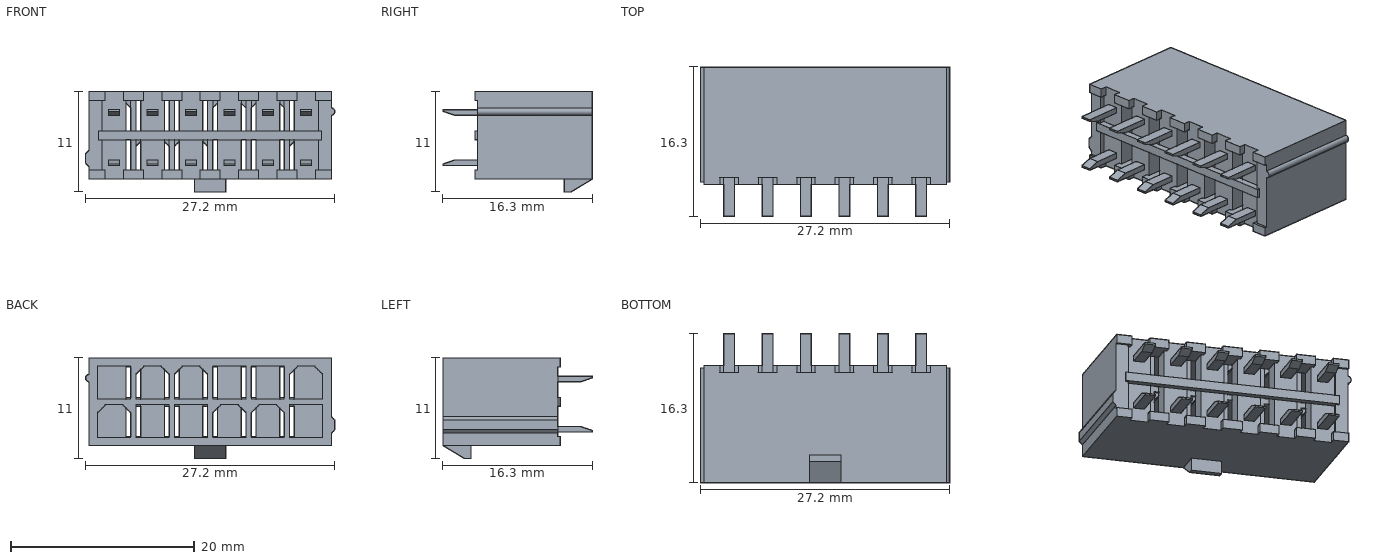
import cadquery as cq


total_width = 27.2
housing_width = 26.47
housing_depth = 12.8
housing_height = 9.57

columns = 6
pitch = 4.2
column_positions = [(i - (columns - 1) / 2) * pitch for i in range(columns)]

end_recess = 0.27
cell_recess = 0.75
tab_height = 1.0
tab_width = 2.18
end_land_width = 1.41
slot_width = 1.58
bar_width = 24.32
bar_height = 0.98
open_height = housing_height - 2 * tab_height
cell_zone_width = housing_width - 2 * end_land_width

floor_depth = 2.8
cavity_wall = 0.6
cavity_size = pitch - cavity_wall
cavity_chamfer = 0.9
key_setback = 0.27
upper_keyed_columns = (0, 3, 4)
lower_keyed_columns = (1, 2, 5)

pin_width = 1.2
pin_thickness = 0.63
pin_reach = 3.48
pin_taper = 1.25
pin_tip_thickness = 0.2
upper_pin_top = housing_height / 2 - 1.99
pin_row_span = 6.12
lower_pin_bottom = upper_pin_top - pin_row_span
pin_root = (cell_recess + floor_depth) / 2

left_ridge_top = -1.63
left_ridge_base = 1.8
left_ridge_crest = 1.03
right_ridge_top = 3.0
right_ridge_base = 0.82
ridge_length = housing_depth - end_recess

latch_width = 3.43
latch_length = 3.07
latch_height = 1.41
latch_flat = 0.73


def block(width, y_start, y_end, height, x=0.0, z=0.0):
    """Box centred at x and z, running from y_start to y_end."""
    depth = y_end - y_start
    return cq.Workplane("XY").box(width, depth, height).translate((x, y_start + depth / 2, z))


def cavity(x, z, keyed):
    """Square mating cavity; keyed ones have chamfered upper corners starting just above the floor."""
    if not keyed:
        return block(cavity_size, floor_depth, housing_depth, cavity_size, x, z)
    key_start = floor_depth + key_setback
    base = block(cavity_size, floor_depth, key_start, cavity_size, x, z)
    mouth = block(cavity_size, key_start, housing_depth, cavity_size, x, z)
    return base.union(mouth.faces(">Z").edges("|Y").chamfer(cavity_chamfer))


def pin(x, outer_z, inward):
    """Pin with a flat outer side at outer_z; its inner side tapers towards the tip."""
    tip_y = -pin_reach
    inner_z = outer_z + inward * pin_thickness
    profile = [
        (pin_root, outer_z),
        (tip_y, outer_z),
        (tip_y, outer_z + inward * pin_tip_thickness),
        (tip_y + pin_taper, inner_z),
        (pin_root, inner_z),
    ]
    blank = cq.Workplane("YZ").polyline(profile).close().extrude(pin_width / 2, both=True)
    return blank.translate((x, 0, 0))


def left_ridge():
    """Trapezoidal ridge along Y on the left wall."""
    wall_x = -housing_width / 2
    crest_x = -total_width / 2
    middle_z = left_ridge_top - left_ridge_base / 2
    profile = [
        (wall_x, middle_z + left_ridge_base / 2),
        (crest_x, middle_z + left_ridge_crest / 2),
        (crest_x, middle_z - left_ridge_crest / 2),
        (wall_x, middle_z - left_ridge_base / 2),
    ]
    ridge = cq.Workplane("XZ").polyline(profile).close().extrude(-ridge_length)
    return ridge.translate((0, end_recess, 0))


def right_ridge():
    """Rounded ridge along Y on the right wall."""
    wall_x = housing_width / 2
    crest = (total_width / 2, right_ridge_top - right_ridge_base / 2)
    lower_end = (wall_x, right_ridge_top - right_ridge_base)
    section = cq.Workplane("XZ").moveTo(wall_x, right_ridge_top).threePointArc(crest, lower_end).close()
    return section.extrude(-ridge_length).translate((0, end_recess, 0))


def latch():
    """Ramp that rises from the mating edge and ends in a square catch."""
    underside = -housing_height / 2
    catch_y = housing_depth - latch_length
    profile = [
        (housing_depth, underside),
        (catch_y, underside),
        (catch_y, underside - latch_height),
        (catch_y + latch_flat, underside - latch_height),
    ]
    return cq.Workplane("YZ").polyline(profile).close().extrude(latch_width / 2, both=True)


housing = block(housing_width, 0, housing_depth, housing_height)
housing = housing.cut(block(housing_width, 0, end_recess, open_height))
housing = housing.cut(block(cell_zone_width, 0, cell_recess, open_height))
for column_x in column_positions:
    housing = housing.cut(block(pitch - tab_width, 0, cell_recess, housing_height, column_x))

for column, column_x in enumerate(column_positions):
    housing = housing.cut(cavity(column_x, pitch / 2, column in upper_keyed_columns))
    housing = housing.cut(cavity(column_x, -pitch / 2, column in lower_keyed_columns))

for column_x in column_positions[:-1]:
    housing = housing.cut(block(slot_width, 0, floor_depth, open_height, column_x + pitch / 2))

housing = housing.union(block(bar_width, 0, cell_recess, bar_height))
housing = housing.union(left_ridge())
housing = housing.union(right_ridge())
housing = housing.union(latch())

for column_x in column_positions:
    housing = housing.union(pin(column_x, upper_pin_top, -1))
    housing = housing.union(pin(column_x, lower_pin_bottom, 1))

result = housing